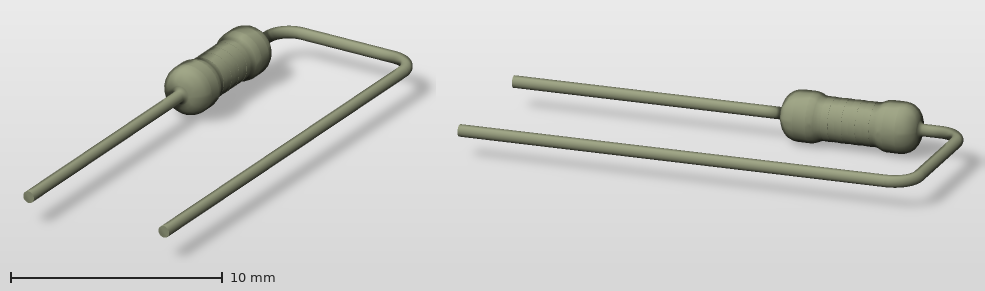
import cadquery as cq
import math

length = 22.9
width = 9.05

wire_dia = 0.6
bend_radius = 1.2

cap_dia = 2.5
waist_dia = 2.13
body_middle = 5.93
cap_inner = 1.92
cap_outer = 2.56
shoulder_length = 0.69
dome_radius = 0.85
neck_length = 0.2

band_dia = 2.15
band_width = 0.35
band_count = 4

wire_r = wire_dia / 2
cap_r = cap_dia / 2
waist_r = waist_dia / 2
lead_spacing = width - cap_r - wire_r
wire_top = length - wire_r
body_y = length - body_middle
waist_end = cap_inner - shoulder_length


def make_wire():
    """Hairpin wire: one lead through the body, the other beside it."""
    bend_start = wire_top - bend_radius
    bend_offset = bend_radius * (1 - math.sqrt(0.5))
    path = (
        cq.Workplane("XY")
        .lineTo(0, bend_start)
        .threePointArc((bend_offset, wire_top - bend_offset), (bend_radius, wire_top))
        .lineTo(lead_spacing - bend_radius, wire_top)
        .threePointArc(
            (lead_spacing - bend_offset, wire_top - bend_offset), (lead_spacing, bend_start)
        )
        .lineTo(lead_spacing, 0)
    )
    return cq.Workplane("XZ").circle(wire_r).sweep(path)


def make_end_body():
    """Revolve one end of the body, from the waist to the neck, toward +Y."""
    dome_center_r = cap_r - dome_radius
    neck_y = cap_outer + dome_radius + neck_length
    rise = neck_y - cap_outer
    offset = wire_r - dome_center_r
    neck_radius = (offset**2 + rise**2 - dome_radius**2) / (2 * (dome_radius - offset))
    dome_end_angle = math.atan2(rise, offset + neck_radius)
    dome_end = (
        dome_center_r + dome_radius * math.cos(dome_end_angle),
        cap_outer + dome_radius * math.sin(dome_end_angle),
    )
    dome_mid = (
        dome_center_r + dome_radius * math.cos(dome_end_angle / 2),
        cap_outer + dome_radius * math.sin(dome_end_angle / 2),
    )

    shoulder_mid = ((waist_r + cap_r) / 2, cap_inner - shoulder_length / 2)

    half_run = shoulder_length / 2
    half_rise = (cap_r - waist_r) / 2
    shoulder_radius = (half_run**2 + half_rise**2) / (2 * half_rise)
    quarter_angle = math.asin(half_run / shoulder_radius) / 2
    shoulder_quarter = (
        waist_r + shoulder_radius * (1 - math.cos(quarter_angle)),
        waist_end + shoulder_radius * math.sin(quarter_angle),
    )
    profile = (
        cq.Workplane("XY")
        .moveTo(0, waist_end)
        .lineTo(waist_r, waist_end)
        .threePointArc(shoulder_quarter, shoulder_mid)
        .tangentArcPoint((cap_r, cap_inner), relative=False)
        .lineTo(cap_r, cap_outer)
        .threePointArc(dome_mid, dome_end)
        .tangentArcPoint((wire_r, neck_y), relative=False)
        .lineTo(0, neck_y)
        .close()
    )
    return profile.revolve(360, (0, 0), (0, 1))


def make_ring(diameter, ring_length, center_y):
    """Solid cylinder along Y, centred on the given Y."""
    return (
        cq.Workplane("XZ", origin=(0, center_y + ring_length / 2, 0))
        .circle(diameter / 2)
        .extrude(ring_length)
    )


end_body = make_end_body()
waist = make_ring(waist_dia, 2 * waist_end, 0)
body = waist.union(end_body).union(end_body.mirror("XZ"))

for i in range(band_count):
    band_y = 2 * band_width * (i - (band_count - 1) / 2)
    body = body.union(make_ring(band_dia, band_width, band_y))

result = make_wire().union(body.translate((0, body_y, 0)))